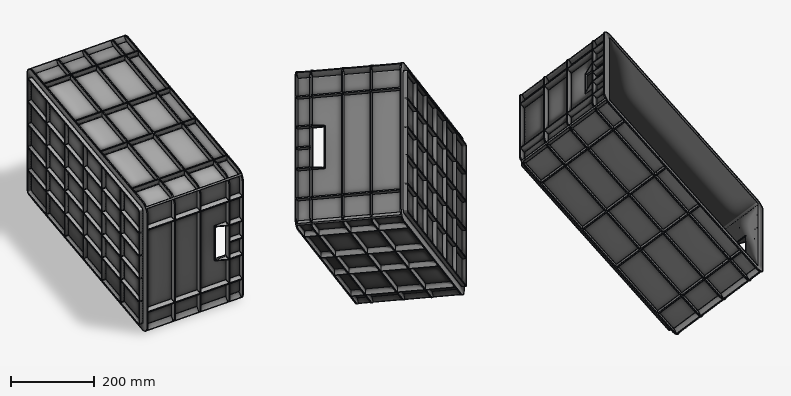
import cadquery as cq

length = 600.0
depth = 273.0
height = 400.0
skin = 3.0

rim_radius = 24.0
wall_inset = 15.0
wall_radius = rim_radius - wall_inset
corner_rib_thickness = 5.0

base_depth = 10.0
base_inset = 19.0
base_radius = 8.0
base_columns = 6
base_rows = 5

hoop_offsets = [skin / 2, 38.0, 116.5, 186.5, depth - base_depth - skin / 2]
long_wall_ribs = [-221.0, -64.0, 64.0, 221.0]
short_wall_ribs = [-129.0, 129.0]

hole_width = 104.5
hole_top = hoop_offsets[1] + skin / 2
hole_bottom = 69.0
hole_radius = 2.5
collar_thickness = 2.5
collar_low_edge = 2.5
grip_rib_offset = hole_width / 2 + collar_thickness - skin / 2

core_length = length - 2 * wall_inset
core_height = height - 2 * wall_inset


def box(x_range, y_range, z_range):
    """Axis-aligned block between the given limits."""
    (x0, x1), (y0, y1), (z0, z1) = x_range, y_range, z_range
    return cq.Workplane("XY").box(x1 - x0, y1 - y0, z1 - z0, centered=False).translate((x0, y0, z0))


def rounded_block(size_x, size_z, radius, y_start, y_end):
    """Block centred on the Y axis with rounded edges along Y."""
    block = box((-size_x / 2, size_x / 2), (y_start, y_end), (-size_z / 2, size_z / 2))
    return block.edges("|Y").fillet(radius)


def centred(middle, width):
    """Limits of a span with the given middle and width."""
    return (middle - width / 2, middle + width / 2)


def hoops():
    """Full plates that become the two end flanges and the ribs around the body."""
    plates = []
    for offset in hoop_offsets:
        start, end = centred(depth - offset, skin)
        plates.append(rounded_block(length, height, rim_radius, start, end))
    return plates


def upright_ribs():
    """Ribs along Y: plates right across the body, joining opposite walls."""
    full_y = (base_depth, depth)
    mouth_band_y = (depth - hoop_offsets[1], depth)
    ribs = []
    for x in long_wall_ribs:
        ribs.append(box(centred(x, skin), full_y, centred(0, height)))
    for z in short_wall_ribs:
        ribs.append(box(centred(0, length), full_y, centred(z, skin)))
    for z in (-grip_rib_offset, 0, grip_rib_offset):
        ribs.append(box(centred(0, length), mouth_band_y, centred(z, skin)))
    return ribs


def corner_ribs():
    """Diagonal ribs at the four corners, cut to the rounded rim outline."""
    outline = rounded_block(length, height, rim_radius, base_depth, depth)
    ribs = []
    for side_x in (-1, 1):
        for side_z in (-1, 1):
            rib = box(centred(0, 2 * rim_radius), (base_depth, depth), centred(0, corner_rib_thickness))
            rib = rib.rotate((0, 0, 0), (0, 1, 0), -45 * side_x * side_z)
            centre_x = side_x * (length / 2 - rim_radius)
            centre_z = side_z * (height / 2 - rim_radius)
            ribs.append(rib.translate((centre_x, 0, centre_z)).intersect(outline))
    return ribs


def hole_block(margin, radius):
    """Block through both short walls, grown by the margin around the hand hole."""
    y_range = (depth - hole_bottom - margin, depth - hole_top + margin)
    block = box(centred(0, length), y_range, centred(0, hole_width + 2 * margin))
    return block.edges("|X and <Y").fillet(radius)


def hole_collars():
    """Collars around the hand holes, sloping from the rib edge down towards the wall."""
    rib_y = depth - hole_top
    end_y = depth - hole_bottom - collar_thickness
    rib_x = length / 2
    end_x = core_length / 2 + collar_low_edge
    slope = (
        cq.Workplane("XY")
        .polyline([(-rib_x, rib_y), (rib_x, rib_y), (end_x, end_y), (-end_x, end_y)])
        .close()
        .extrude(height / 2, both=True)
    )
    return hole_block(collar_thickness, hole_radius).intersect(slope)


def base_grid():
    """Rim and crossing ribs raised from the bottom."""
    outer_x = length - 2 * base_inset
    outer_z = height - 2 * base_inset
    y_range = (0, base_depth)
    outer = rounded_block(outer_x, outer_z, base_radius, *y_range)
    inner = rounded_block(outer_x - 2 * skin, outer_z - 2 * skin, base_radius - skin, *y_range)
    grid = outer.cut(inner)
    for column in range(1, base_columns):
        x = (column / base_columns - 0.5) * (outer_x - skin)
        grid = grid.union(box(centred(x, skin), y_range, centred(0, outer_z - skin)))
    for row in range(1, base_rows):
        z = (row / base_rows - 0.5) * (outer_z - skin)
        grid = grid.union(box(centred(0, outer_x - skin), y_range, centred(z, skin)))
    return grid


body = rounded_block(core_length, core_height, wall_radius, base_depth, depth)
for piece in hoops() + upright_ribs() + corner_ribs():
    body = body.union(piece)
body = body.union(hole_collars())

cavity = rounded_block(
    core_length - 2 * skin,
    core_height - 2 * skin,
    wall_radius - skin,
    base_depth + skin,
    depth,
)
result = body.cut(cavity).cut(hole_block(0, hole_radius)).union(base_grid())